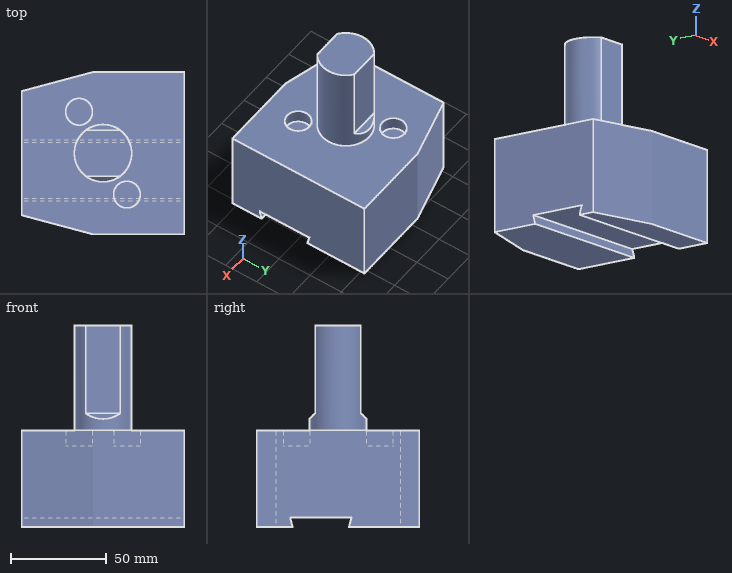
import cadquery as cq
import math

block_side = 85.0
block_height = 50.5
taper_angle = 15.0
taper_inset = 10.0
taper_length = taper_inset / math.tan(math.radians(taper_angle))

shank_diameter = 30.0
shank_length = 55.0
flat_spacing = 24.0
flat_length = 46.0
flat_depth = (shank_diameter - flat_spacing) / 2

hole_diameter = 14.0
hole_depth = 8.0
hole_circle_radius = 25.0
hole_angles = (120.0, 300.0)

slot_depth = 5.0
slot_top_width = 32.0
slot_center_y = -9.0
slot_flank_angle = 15.0
slot_mouth_width = slot_top_width - 2 * slot_depth * math.tan(math.radians(slot_flank_angle))


def make_block():
    half = block_side / 2
    outline = [
        (half, -half),
        (half, half),
        (taper_length - half, half),
        (-half, half - taper_inset),
        (-half, taper_inset - half),
        (taper_length - half, -half),
    ]
    return cq.Workplane("XY").polyline(outline).close().extrude(block_height)


def make_shank():
    """Shank whose flats run out to the full diameter at 45 degrees."""
    round_bar = (
        cq.Workplane("XY")
        .workplane(offset=block_height)
        .circle(shank_diameter / 2)
        .extrude(shank_length)
    )
    top_z = block_height + shank_length
    flat_end_z = top_z - flat_length
    runout_z = flat_end_z - flat_depth
    radius = shank_diameter / 2
    half_flat = flat_spacing / 2
    profile = [
        (-radius, block_height),
        (radius, block_height),
        (radius, runout_z),
        (half_flat, flat_end_z),
        (half_flat, top_z),
        (-half_flat, top_z),
        (-half_flat, flat_end_z),
        (-radius, runout_z),
    ]
    envelope = cq.Workplane("YZ").polyline(profile).close().extrude(radius, both=True)
    return round_bar.intersect(envelope)


def make_holes():
    centers = []
    for angle in hole_angles:
        theta = math.radians(angle)
        centers.append((hole_circle_radius * math.cos(theta), hole_circle_radius * math.sin(theta)))
    return (
        cq.Workplane("XY")
        .workplane(offset=block_height)
        .pushPoints(centers)
        .circle(hole_diameter / 2)
        .extrude(-hole_depth)
    )


def make_dovetail():
    profile = [
        (slot_center_y - slot_mouth_width / 2, 0),
        (slot_center_y + slot_mouth_width / 2, 0),
        (slot_center_y + slot_top_width / 2, slot_depth),
        (slot_center_y - slot_top_width / 2, slot_depth),
    ]
    return cq.Workplane("YZ").polyline(profile).close().extrude(block_side / 2, both=True)


result = make_block().union(make_shank()).cut(make_holes()).cut(make_dovetail())